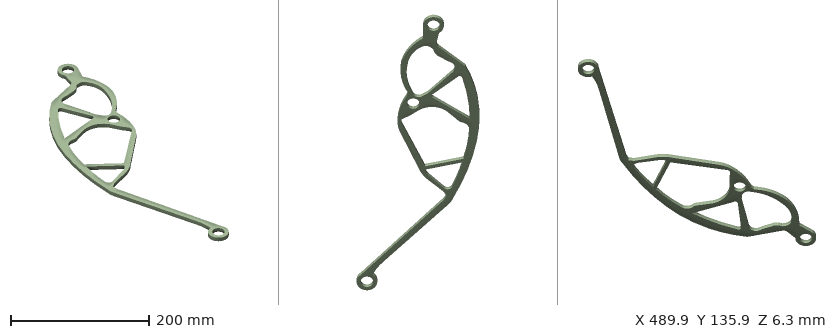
import cadquery as cq

overall_length = 489.94
thickness = 6.3
hole_diameter = 18.0
boss_diameter = 30.0
middle_hole_x = 140.0
right_hole_x = overall_length - boss_diameter
hole_centers = [(0.0, 0.0), (middle_hole_x, 0.0), (right_hole_x, 0.0)]
boss_centers = [hole_centers[0], hole_centers[-1]]

neck_start_top = (3.5, 14.58)
neck_start_bottom = (6.0, -13.75)
hump_start = (25.0, 10.6)
hump_top = (73.0, 32.0)
hump_end = (122.4, 12.0)
cover_start = (130.3, 12.3)
upper_strut_start = (192.4, 8.6)
arm_crotch = (288.2, -80.9)
arm_end_top = (right_hole_x - 8.64, 11.9)
arm_end_bottom = (right_hole_x - 13.94, -5.3)
belly_right_end = (288.4, -91.6)
belly_bottom = (185.0, -103.8)
belly_left_end = (60.1, -59.5)


def line(end):
    """Straight edge from the current point to end."""
    return lambda sketch: sketch.lineTo(*end)


def arc(middle, end):
    """Circular edge from the current point through middle to end."""
    return lambda sketch: sketch.threePointArc(middle, end)


def plate(start, edges):
    """Full-thickness plate bounded by the given chain of edges."""
    sketch = cq.Workplane("XY").moveTo(*start)
    for add_edge in edges:
        sketch = add_edge(sketch)
    return sketch.close().extrude(thickness)


def discs(centers, diameter):
    """Full-thickness discs at the given centers."""
    return cq.Workplane("XY").pushPoints(centers).circle(diameter / 2).extrude(thickness)


def frame_blank():
    """Frame without its windows and end bosses, outlined clockwise from the left boss."""
    left_neck_top = [line(hump_start)]
    left_hump = [arc((46.5, 25.5), hump_top), arc((100.0, 26.3), hump_end)]
    middle_hole_cover = [
        arc((126.2, 11.7), cover_start),
        arc((153.5, 17.1), (172.8, 16.2)),
        arc((183.4, 13.4), upper_strut_start),
    ]
    upper_strut = [
        line((247.8, -30.3)),
        arc((257.0, -37.2), (264.2, -45.3)),
        line((282.1, -75.5)),
        line(arm_crotch),
    ]
    arm_top = [arc((295.4, -78.8), (302.5, -74.7)), line(arm_end_top)]
    arm_bottom = [
        line(hole_centers[-1]),
        line(arm_end_bottom),
        arc((433.0, -9.5), (419.9, -16.3)),
        line((301.9, -87.1)),
        arc((295.4, -90.1), belly_right_end),
    ]
    belly = [
        arc((236.0, -101.5), belly_bottom),
        arc((143.0, -98.8), (110.0, -88.7)),
        arc((83.5, -75.6), belly_left_end),
    ]
    left_neck_bottom = [
        line((34.2, -13.6)),
        arc((31.4, -11.4), (27.7, -10.5)),
        line((13.5, -10.5)),
        arc((10.0, -11.0), neck_start_bottom),
    ]
    return plate(
        neck_start_top,
        left_neck_top + left_hump + middle_hole_cover + upper_strut
        + arm_top + arm_bottom + belly + left_neck_bottom,
    )


def hump_window():
    """Large window under the left hump, clockwise from its left end."""
    return plate(
        (37.3, 5.5),
        [
            arc((51.0, 17.9), (73.2, 22.4)),
            arc((98.5, 18.3), (122.2, 5.2)),
            arc((127.3, -3.2), (124.5, -10.0)),
            line((117.4, -17.2)),
            line((75.4, -43.0)),
            arc((65.0, -45.4), (57.8, -38.2)),
            line((56.2, -32.0)),
            line((51.3, -19.7)),
            arc((48.0, -13.2), (41.2, -8.6)),
            arc((37.6, -2.5), (37.3, 5.5)),
        ],
    )


def left_triangle_window():
    """Triangular window between the two left struts and the belly."""
    return plate(
        (80.5, -53.0),
        [
            line((117.4, -24.6)),
            arc((121.0, -23.2), (124.2, -26.4)),
            line((148.9, -85.5)),
            arc((113.5, -74.8), (80.8, -59.7)),
            arc((78.5, -56.4), (80.5, -53.0)),
        ],
    )


def center_window():
    """Large window right of the middle hole, clockwise from its top."""
    return plate(
        (169.1, 9.2),
        [
            arc((173.4, 10.9), (177.6, 9.4)),
            line((244.2, -39.4)),
            line((219.5, -91.3)),
            arc((192.0, -91.6), (166.6, -88.5)),
            arc((160.5, -84.5), (157.5, -77.0)),
            arc((156.6, -72.0), (154.2, -68.0)),
            line((143.0, -50.2)),
            arc((139.9, -28.0), (148.7, -11.3)),
            line((161.9, 0.8)),
        ],
    )


def right_triangle_window():
    """Triangular window at the right end of the frame."""
    return plate(
        (249.4, -41.8),
        [
            arc((254.0, -43.3), (258.0, -47.3)),
            line((275.7, -74.4)),
            arc((276.6, -80.8), (272.4, -85.2)),
            arc((250.0, -89.1), (225.9, -91.2)),
        ],
    )


result = frame_blank().union(discs(boss_centers, boss_diameter))
for window in (hump_window, left_triangle_window, center_window, right_triangle_window):
    result = result.cut(window())
result = result.cut(discs(hole_centers, hole_diameter))